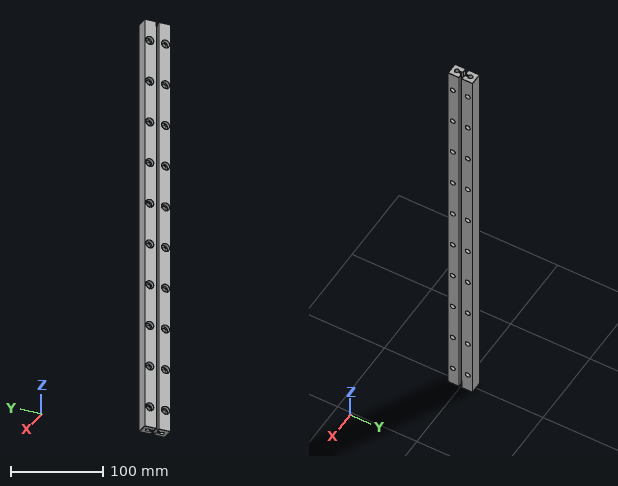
import cadquery as cq
import math

length = 500.0
thickness = 15.0
pair_width = 31.0
gap = 3.2
rail_width = (pair_width - gap) / 2
half_gap = gap / 2
rail_center = half_gap + rail_width / 2
edge_chamfer = 0.1

roller_diameter = 6.0
raceway_root = roller_diameter / 2 * math.sqrt(2)
raceway_half_opening = raceway_root - half_gap
relief_width = 2.0
relief_bottom = 5.0

hole_inset = 6.0
hole_line = pair_width / 2 - hole_inset
hole_pitch = 50.0
hole_count = 10
first_hole = (length - (hole_count - 1) * hole_pitch) / 2
hole_diameter = 6.0
counterbore_diameter = 9.5
counterbore_depth = 5.0

end_hole_diameter = 5.0
end_hole_depth = 10.0
drill_point_height = 1.5


def make_bar(side):
    """Plain bar with every edge slightly broken."""
    return (
        cq.Workplane("XY")
        .box(thickness, rail_width, length)
        .edges()
        .chamfer(edge_chamfer)
        .translate((0, side * rail_center, length / 2))
    )


def make_raceway(side):
    groove = (
        cq.Workplane("XY")
        .moveTo(-raceway_half_opening, side * half_gap)
        .lineTo(raceway_half_opening, side * half_gap)
        .lineTo(0, side * raceway_root)
        .close()
        .extrude(length)
    )
    relief_depth = relief_bottom - half_gap
    relief = cq.Workplane("XY").box(relief_width, relief_depth, length).translate(
        (0, side * (half_gap + relief_depth / 2), length / 2)
    )
    return groove.union(relief)


def make_mounting_holes(side):
    centers = [(side * hole_line, first_hole + i * hole_pitch) for i in range(hole_count)]
    mounting_face = cq.Workplane("YZ", origin=(-thickness / 2, 0, 0)).pushPoints(centers)
    bores = mounting_face.circle(hole_diameter / 2).extrude(thickness)
    counterbores = mounting_face.circle(counterbore_diameter / 2).extrude(counterbore_depth)
    return bores.union(counterbores)


def make_end_holes(side):
    """Drilled holes with a conical bottom, one in each end."""
    radius = end_hole_diameter / 2
    lower = (
        cq.Workplane("XZ")
        .lineTo(radius, 0)
        .lineTo(radius, end_hole_depth)
        .lineTo(0, end_hole_depth + drill_point_height)
        .close()
        .revolve(360, (0, 0, 0), (0, 1, 0))
        .translate((0, side * rail_center, 0))
    )
    upper = lower.mirror("XY").translate((0, 0, length))
    return lower.union(upper)


def make_rail(side):
    """One rail; side is +1 or -1, the Y direction of its outer side."""
    return (
        make_bar(side)
        .cut(make_raceway(side))
        .cut(make_mounting_holes(side))
        .cut(make_end_holes(side))
    )


rails = [make_rail(side) for side in (-1, 1)]
result = cq.Compound.makeCompound([rail.val() for rail in rails])